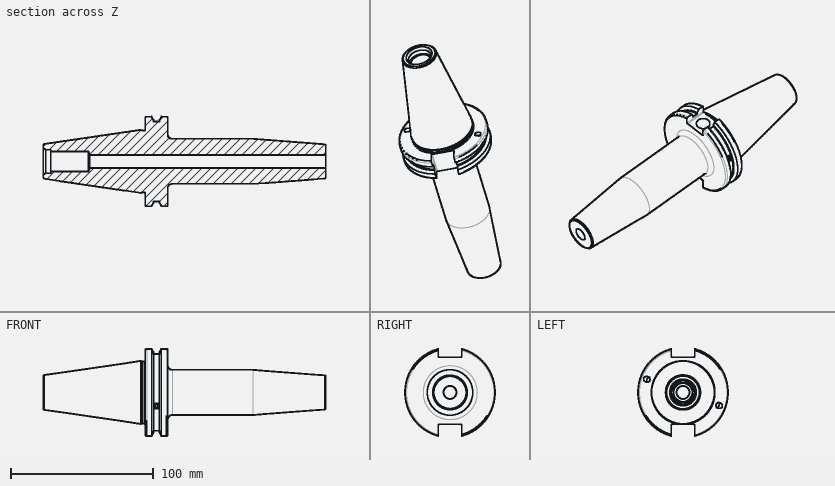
import cadquery as cq
import math

total_length = 198.2

taper_length = 68.4
taper_small_radius = 12.3
taper_large_radius = 22.2
taper_end_chamfer = 0.8
taper_edge_relief = 1.0

neck_radius = 21.8
neck_fillet = 0.5

flange_start = 71.5
flange_width = 15.9
flange_diameter = 63.2
flange_round = 1.0
groove_bottom_radius = 28.2
groove_bottom_width = 4.2
groove_top_width = 6.7
groove_wall_foot = 1.0

shank_diameter = 32.0
shank_fillet = 3.0
nose_start = 147.0
nose_tip_radius = 12.0
nose_chamfer = 0.8

bore_mouth_radius = 9.3
bore_mouth_depth = 2.0
pilot_radius = 8.1
pilot_depth = 5.4
thread_radius = 7.0
thread_depth = 31.7
through_diameter = 9.0
bore_end_radius = 6.5
bore_cone_length = 1.2

slot_width = 16.3
slot_corner_radius = 0.5
upper_slot_height = 24.8
lower_slot_height = 22.5

dimple_diameter = 9.5
dimple_cone_depth = 2.8

coolant_angle = 20.0
coolant_circle_radius = 27.0
coolant_slant = 30.0
coolant_diameter = 4.0
coolant_depth = 3.5
screw_diameter = 4.2
screw_recess_depth = 0.2
socket_diameter = 2.4
socket_depth = 0.5
drill_point_ratio = 0.6

flange_radius = flange_diameter / 2
shank_radius = shank_diameter / 2
through_radius = through_diameter / 2
flange_end = flange_start + flange_width
groove_center_x = flange_start + flange_width / 2


def revolve_about_x(profile):
    """Solid of revolution from an open half profile that starts and ends on the X axis."""
    return profile.close().revolve(360, (0, 0, 0), (1, 0, 0))


def make_body():
    bottom_half = groove_bottom_width / 2
    top_half = groove_top_width / 2
    foot_radius = groove_bottom_radius + groove_wall_foot
    profile = (
        cq.Workplane("XY")
        .moveTo(0, 0)
        .lineTo(0, taper_small_radius - taper_end_chamfer)
        .lineTo(taper_end_chamfer, taper_small_radius)
        .lineTo(taper_length, taper_large_radius)
        .lineTo(taper_length + taper_edge_relief, neck_radius)
        .lineTo(flange_start - neck_fillet, neck_radius)
        .radiusArc((flange_start, neck_radius + neck_fillet), -neck_fillet)
        .lineTo(flange_start, flange_radius - flange_round)
        .radiusArc((flange_start + flange_round, flange_radius), flange_round)
        .lineTo(groove_center_x - top_half, flange_radius)
        .lineTo(groove_center_x - bottom_half, foot_radius)
        .lineTo(groove_center_x - bottom_half, groove_bottom_radius)
        .lineTo(groove_center_x + bottom_half, groove_bottom_radius)
        .lineTo(groove_center_x + bottom_half, foot_radius)
        .lineTo(groove_center_x + top_half, flange_radius)
        .lineTo(flange_end - flange_round, flange_radius)
        .radiusArc((flange_end, flange_radius - flange_round), flange_round)
        .lineTo(flange_end, shank_radius + shank_fillet)
        .radiusArc((flange_end + shank_fillet, shank_radius), -shank_fillet)
        .lineTo(nose_start, shank_radius)
        .lineTo(total_length - nose_chamfer, nose_tip_radius)
        .lineTo(total_length, nose_tip_radius - nose_chamfer)
        .lineTo(total_length, 0)
    )
    return revolve_about_x(profile)


def make_bore():
    profile = (
        cq.Workplane("XY")
        .moveTo(0, 0)
        .lineTo(0, bore_mouth_radius)
        .lineTo(bore_mouth_depth, pilot_radius)
        .lineTo(pilot_depth, pilot_radius)
        .lineTo(pilot_depth, thread_radius)
        .lineTo(thread_depth, thread_radius)
        .lineTo(thread_depth, bore_end_radius)
        .lineTo(thread_depth + bore_cone_length, through_radius)
        .lineTo(total_length, through_radius)
        .lineTo(total_length, 0)
    )
    return revolve_about_x(profile)


def make_slot(floor_height, direction):
    """Slot cutter, upward for direction 1 and downward for -1, with rounded floor corners."""
    height = flange_radius
    floor_corners = "|X and <Z" if direction > 0 else "|X and >Z"
    cutter = (
        cq.Workplane("XY")
        .box(flange_width, slot_width, height)
        .edges(floor_corners)
        .fillet(slot_corner_radius)
    )
    center_z = direction * (floor_height + height / 2)
    return cutter.translate((groove_center_x, 0, center_z))


def make_dimple():
    return cq.Workplane(
        cq.Solid.makeCone(
            0,
            dimple_diameter / 2,
            dimple_cone_depth,
            cq.Vector(groove_center_x, 0, upper_slot_height - dimple_cone_depth),
            cq.Vector(0, 0, 1),
        )
    )


def make_drilled_hole(mouth, drilling, diameter, depth):
    """Blind hole with a conical end; the cutter also clears the stock in front of its mouth."""
    radius = diameter / 2
    barrel = cq.Solid.makeCylinder(radius, depth + diameter, mouth - drilling * diameter, drilling)
    point = cq.Solid.makeCone(radius, 0, radius * drill_point_ratio, mouth + drilling * depth, drilling)
    return cq.Workplane(barrel).union(cq.Workplane(point))


def make_coolant_holes(angle):
    """Slanted hole in the front flange face and a radial stepped hole in the groove floor."""
    outward = cq.Vector(0, math.cos(math.radians(angle)), math.sin(math.radians(angle)))
    along = cq.Vector(1, 0, 0)
    slant = math.radians(coolant_slant)
    face_mouth = along * flange_start + outward * coolant_circle_radius
    slanted_direction = along * math.cos(slant) - outward * math.sin(slant)
    slanted = make_drilled_hole(face_mouth, slanted_direction, coolant_diameter, coolant_depth)

    groove_mouth = along * groove_center_x + outward * groove_bottom_radius
    recess = cq.Solid.makeCylinder(
        screw_diameter / 2,
        screw_recess_depth + screw_diameter,
        groove_mouth + outward * screw_diameter,
        outward * -1,
    )
    socket = make_drilled_hole(groove_mouth, outward * -1, socket_diameter, socket_depth)
    return slanted.union(socket).union(cq.Workplane(recess))


result = make_body().cut(make_bore())
result = result.cut(make_slot(upper_slot_height, 1)).cut(make_slot(lower_slot_height, -1))
result = result.cut(make_dimple())
for angle in (coolant_angle, coolant_angle + 180):
    result = result.cut(make_coolant_holes(angle))